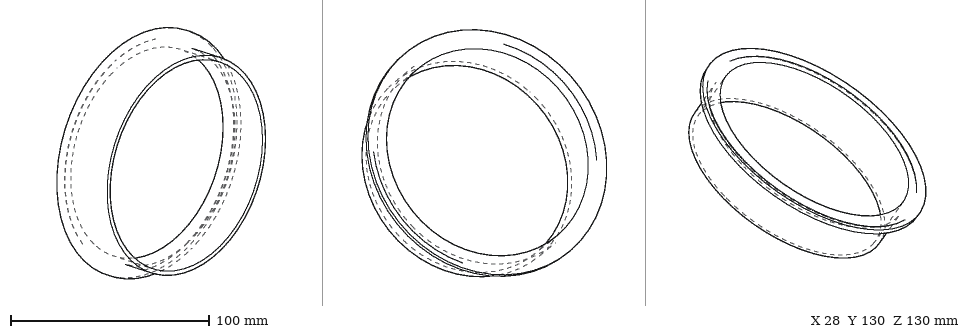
import cadquery as cq
import math

LENGTH = 28.0
FLANGE_RADIUS = 130 / 2
TUBE_RADIUS = 114.3 / 2
BORE_RADIUS = 109.7 / 2

RIM_WIDTH = 2.5
RIM_ROUND = 0.8
ROOT_END = 7.2

GROOVE_RADIUS = 61.0
GROOVE_ARC = 1.3
LIP_ARC = 0.8
GROOVE_SLOPE = math.radians(70)
CONE_SLOPE = math.radians(70)


def on_arc(center, radius, angle):
    """Point on a circle; angle in radians, measured from +X."""
    return (
        center[0] + radius * math.cos(angle),
        center[1] + radius * math.sin(angle),
    )


def arc_middle_and_end(center, radius, start, end):
    return on_arc(center, radius, (start + end) / 2), on_arc(center, radius, end)


def make_body():
    quarter = math.pi / 2
    rim_center = (RIM_WIDTH, FLANGE_RADIUS - RIM_ROUND)
    cone_normal = quarter - CONE_SLOPE
    rim_arc = arc_middle_and_end(rim_center, RIM_ROUND, quarter, cone_normal)

    cone_start = rim_arc[1]
    cone_run = ROOT_END - cone_start[0]
    cone_drop = cone_start[1] - TUBE_RADIUS
    root_radius = (
        (cone_run * math.sin(CONE_SLOPE) - cone_drop * math.cos(CONE_SLOPE))
        / (1 - math.cos(CONE_SLOPE))
    )
    root_center = (ROOT_END, TUBE_RADIUS + root_radius)
    root_start = on_arc(root_center, root_radius, cone_normal + math.pi)
    root_arc = arc_middle_and_end(
        root_center, root_radius, cone_normal + math.pi, 3 * quarter
    )

    return (
        cq.Workplane("XY")
        .moveTo(0, BORE_RADIUS)
        .lineTo(0, FLANGE_RADIUS)
        .lineTo(RIM_WIDTH, FLANGE_RADIUS)
        .threePointArc(*rim_arc)
        .lineTo(*root_start)
        .threePointArc(*root_arc)
        .lineTo(LENGTH, TUBE_RADIUS)
        .lineTo(LENGTH, BORE_RADIUS)
        .close()
        .revolve(360, (0, 0, 0), (1, 0, 0))
    )


def make_gasket_groove():
    half_width = (GROOVE_ARC + LIP_ARC) * math.sin(GROOVE_SLOPE)
    depth = (GROOVE_ARC + LIP_ARC) * (1 - math.cos(GROOVE_SLOPE))
    inner_lip = (LIP_ARC, GROOVE_RADIUS - half_width)
    bottom = (depth - GROOVE_ARC, GROOVE_RADIUS)
    outer_lip = (LIP_ARC, GROOVE_RADIUS + half_width)
    lip_angle = math.pi - GROOVE_SLOPE

    return (
        cq.Workplane("XY")
        .moveTo(0, inner_lip[1])
        .threePointArc(*arc_middle_and_end(inner_lip, LIP_ARC, math.pi, lip_angle))
        .threePointArc(*arc_middle_and_end(bottom, GROOVE_ARC, -GROOVE_SLOPE, GROOVE_SLOPE))
        .threePointArc(*arc_middle_and_end(outer_lip, LIP_ARC, -lip_angle, -math.pi))
        .close()
        .revolve(360, (0, 0, 0), (1, 0, 0))
    )


result = make_body().cut(make_gasket_groove())